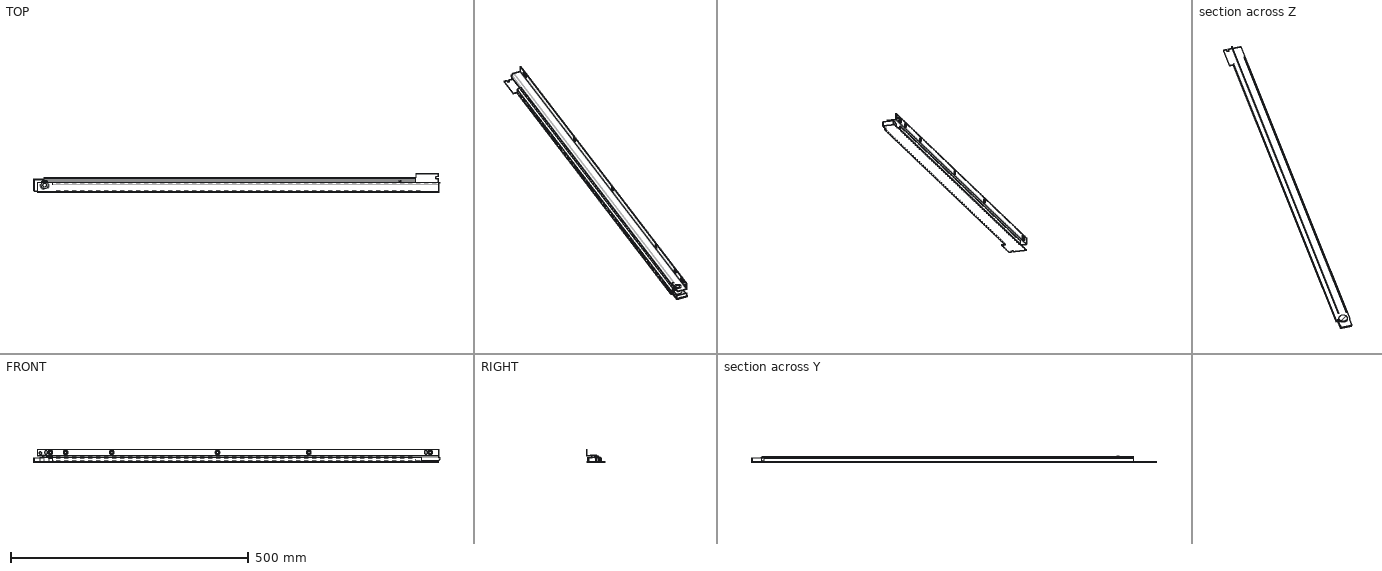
import cadquery as cq
import math

TOTAL_LENGTH = 856.63
TOTAL_WIDTH = 39.5
TOTAL_HEIGHT = 27.83
SHEET = 1.8

CHANNEL_FRONT = 0.8
FRONT_LIP_SETBACK = 1.3
CHANNEL_BACK = 31.5
CHANNEL_END = 853.0
BACK_WALL_START = 22.0
BACK_WALL_END = 805.0
BACK_WALL_TOP = 9.5
SHOULDER_EDGE = 26.0
TOP_LIP_EDGE = 22.0
TOP_LIP_TOP = 12.6
FRONT_LIP_START = 40.5
FRONT_LIP_END = 818.0
FRONT_LIP_TOP = 10.5
END_STOP_FRONT = 4.5
END_STOP_BACK = 28.0
END_STOP_TOP = 9.8
TAIL_CORNER = 2.0
TAB_START = 806.0
STOP_BUMP_X = 772.0
STOP_BUMP_DIAMETER = 4.0
STOP_BUMP_HEIGHT = 0.8
NOTCH_Y = 31.0
NOTCH_WIDTH = 4.0
NOTCH_LENGTH = 5.0

ANGLE_START = 8.0
FLANGE_END = 854.3
WEB_TOP = 15.2
WEB_BEND_RADIUS = 2.0
LEG_BACK = 21.3
LEG_BEND_RADIUS = 5.0
LEG_START = 40.0
LEG_BOTTOM = 4.0
LEG_CORNER = 3.0

HOLE_HEIGHT = 21.5
PLAIN_HOLE_X = 14.5
PLAIN_HOLE_Z = 20.0
PLAIN_HOLE_DIAMETER = 5.0
SLOT_POSITIONS = (26.5, 826.8)
SLOT_WIDTH = 4.5
SLOT_HEIGHT = 8.0
SCREW_POSITIONS = (35.5, 67.8, 165.0, 387.8, 580.3, 836.0)
SCREW_HOLE_DIAMETER = 5.0
SCREW_HEAD_DIAMETER = 10.0
SCREW_HEAD_ANGLE = 120

ROLLER_X = 23.5
ROLLER_Y = 15.2
ROLLER_DIAMETER = 19.0
ROLLER_BOTTOM = 2.5
ROLLER_TOP = 10.5
PIN_DIAMETER = 8.0
HEAD_DIAMETER = 15.0
HEAD_HEIGHT = 1.0


def box(x0, x1, y0, y1, z0, z1):
    """Block between two opposite corners."""
    return cq.Workplane("XY").box(x1 - x0, y1 - y0, z1 - z0, centered=False).translate((x0, y0, z0))


def extrude_along_x(points, x0, x1):
    """Closed Y-Z outline swept from x0 to x1."""
    return cq.Workplane("YZ").polyline(points).close().extrude(x1 - x0).translate((x0, 0, 0))


def make_channel():
    base = box(BACK_WALL_START, CHANNEL_END, CHANNEL_FRONT, CHANNEL_BACK, 0, SHEET)
    lip_front = CHANNEL_FRONT + FRONT_LIP_SETBACK
    tail = (
        box(0, BACK_WALL_START, lip_front, END_STOP_BACK, 0, SHEET)
        .edges("|Z and <X and <Y").chamfer(TAIL_CORNER)
    )
    tab = box(TAB_START, CHANNEL_END, CHANNEL_FRONT, TOTAL_WIDTH, 0, SHEET)
    end_stop = box(0, SHEET, END_STOP_FRONT, END_STOP_BACK, 0, END_STOP_TOP)
    end_return = box(0, BACK_WALL_START, END_STOP_BACK - SHEET, END_STOP_BACK, 0, END_STOP_TOP)
    front_lip = box(FRONT_LIP_START, FRONT_LIP_END, lip_front, lip_front + SHEET, 0, FRONT_LIP_TOP)

    slope = math.atan2(TOP_LIP_TOP - BACK_WALL_TOP, CHANNEL_BACK - SHOULDER_EDGE)
    lip_shift = SHEET * math.tan(slope / 2)
    wall_shift = SHEET * math.tan((math.pi / 2 - slope) / 2)
    back_wall = extrude_along_x(
        [
            (CHANNEL_BACK, 0),
            (CHANNEL_BACK, BACK_WALL_TOP),
            (SHOULDER_EDGE, TOP_LIP_TOP),
            (TOP_LIP_EDGE, TOP_LIP_TOP),
            (TOP_LIP_EDGE, TOP_LIP_TOP - SHEET),
            (SHOULDER_EDGE - lip_shift, TOP_LIP_TOP - SHEET),
            (CHANNEL_BACK - SHEET, BACK_WALL_TOP - wall_shift),
            (CHANNEL_BACK - SHEET, 0),
        ],
        BACK_WALL_START,
        BACK_WALL_END,
    )
    stop_bump = (
        cq.Workplane("XY", origin=(STOP_BUMP_X, (TOP_LIP_EDGE + SHOULDER_EDGE) / 2, TOP_LIP_TOP))
        .circle(STOP_BUMP_DIAMETER / 2).extrude(STOP_BUMP_HEIGHT)
    )
    notch = box(
        CHANNEL_END - NOTCH_LENGTH, CHANNEL_END,
        NOTCH_Y - NOTCH_WIDTH / 2, NOTCH_Y + NOTCH_WIDTH / 2,
        0, SHEET,
    )
    rail = base
    for piece in (tail, tab, end_stop, end_return, front_lip, back_wall, stop_bump):
        rail = rail.union(piece)
    return rail.cut(notch)


def flange_cutter(sketch):
    """Cut through the flange thickness from a sketch on the front face."""
    return sketch.extrude(-SHEET)


def screw_hole(x):
    """Countersunk hole, wide side on the front face."""
    head_radius = SCREW_HEAD_DIAMETER / 2
    hole_radius = SCREW_HOLE_DIAMETER / 2
    sink_depth = (head_radius - hole_radius) / math.tan(math.radians(SCREW_HEAD_ANGLE / 2))
    profile = [
        (0, 0),
        (head_radius, 0),
        (hole_radius, sink_depth),
        (hole_radius, SHEET),
        (0, SHEET),
    ]
    return (
        cq.Workplane("XY").polyline(profile).close()
        .revolve(360, (0, 0, 0), (0, 1, 0))
        .translate((x, 0, HOLE_HEIGHT))
    )


def arc_middle(center, radius, degrees):
    """Point on a circle, used as the middle of a bend's arc."""
    angle = math.radians(degrees)
    return center[0] + radius * math.cos(angle), center[1] + radius * math.sin(angle)


def flange_section():
    """Upright flange and the flat part of the web, joined by a rounded bend."""
    web_bottom = WEB_TOP - SHEET
    bend_center = (WEB_BEND_RADIUS, web_bottom + WEB_BEND_RADIUS)
    return (
        cq.Workplane("YZ")
        .moveTo(0, TOTAL_HEIGHT)
        .lineTo(SHEET, TOTAL_HEIGHT)
        .lineTo(SHEET, WEB_TOP)
        .lineTo(LEG_BACK - LEG_BEND_RADIUS, WEB_TOP)
        .lineTo(LEG_BACK - LEG_BEND_RADIUS, web_bottom)
        .lineTo(WEB_BEND_RADIUS, web_bottom)
        .threePointArc(arc_middle(bend_center, WEB_BEND_RADIUS, 225), (0, bend_center[1]))
        .close()
    )


def leg_section():
    """Downward leg with the quarter bend that joins it to the web."""
    web_bottom = WEB_TOP - SHEET
    inner_radius = LEG_BEND_RADIUS - SHEET
    bend_center = (LEG_BACK - LEG_BEND_RADIUS, WEB_TOP - LEG_BEND_RADIUS)
    return (
        cq.Workplane("YZ")
        .moveTo(bend_center[0], WEB_TOP)
        .threePointArc(arc_middle(bend_center, LEG_BEND_RADIUS, 45), (LEG_BACK, bend_center[1]))
        .lineTo(LEG_BACK, LEG_BOTTOM)
        .lineTo(LEG_BACK - SHEET, LEG_BOTTOM)
        .lineTo(LEG_BACK - SHEET, bend_center[1])
        .threePointArc(arc_middle(bend_center, inner_radius, 45), (bend_center[0], web_bottom))
        .close()
    )


def make_angle():
    web_bottom = WEB_TOP - SHEET
    flange = flange_section().extrude(FLANGE_END - ANGLE_START).translate((ANGLE_START, 0, 0))
    leg = leg_section().extrude(FLANGE_END - LEG_START).translate((LEG_START, 0, 0))
    web_head = box(
        ANGLE_START, LEG_START, LEG_BACK - LEG_BEND_RADIUS, LEG_BACK, web_bottom, WEB_TOP
    )
    leg_tip = (
        box(LEG_START, TOTAL_LENGTH, LEG_BACK - SHEET, LEG_BACK, LEG_BOTTOM, WEB_TOP - LEG_BEND_RADIUS)
        .edges("|Y and >X and <Z").chamfer(LEG_CORNER)
    )
    rail = flange.union(web_head).union(leg).union(leg_tip)
    for x in SCREW_POSITIONS:
        rail = rail.cut(screw_hole(x))
    slots = (
        cq.Workplane("XZ").pushPoints([(x, HOLE_HEIGHT) for x in SLOT_POSITIONS])
        .slot2D(SLOT_HEIGHT, SLOT_WIDTH, 90)
    )
    plain_hole = cq.Workplane("XZ").center(PLAIN_HOLE_X, PLAIN_HOLE_Z).circle(PLAIN_HOLE_DIAMETER / 2)
    pin_hole = (
        cq.Workplane("XY", origin=(ROLLER_X, ROLLER_Y, web_bottom))
        .circle(PIN_DIAMETER / 2).extrude(SHEET)
    )
    return rail.cut(flange_cutter(slots)).cut(flange_cutter(plain_hole)).cut(pin_hole)


def make_roller():
    wheel_radius = ROLLER_DIAMETER / 2
    pin_radius = PIN_DIAMETER / 2
    head_radius = HEAD_DIAMETER / 2
    head_top = WEB_TOP + HEAD_HEIGHT
    profile = [
        (0, ROLLER_BOTTOM),
        (wheel_radius, ROLLER_BOTTOM),
        (wheel_radius, ROLLER_TOP),
        (pin_radius, ROLLER_TOP),
        (pin_radius, WEB_TOP),
        (head_radius, WEB_TOP),
        (pin_radius, head_top),
        (0, head_top),
    ]
    return (
        cq.Workplane("XZ").polyline(profile).close()
        .revolve(360, (0, 0, 0), (0, 1, 0))
        .translate((ROLLER_X, ROLLER_Y, 0))
    )


channel = make_channel()
angle = make_angle()
roller = make_roller()
result = cq.Compound.makeCompound([channel.val(), angle.val(), roller.val()])